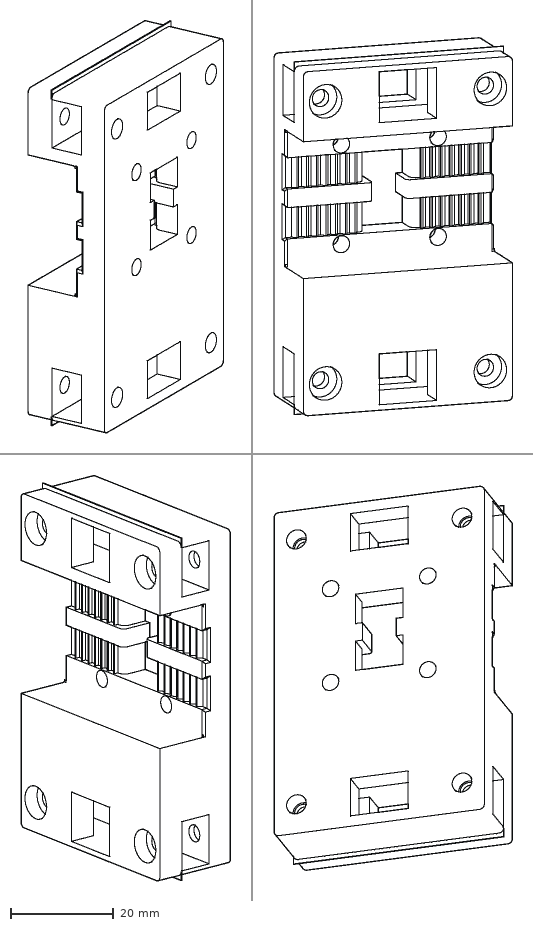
import cadquery as cq
DEPTH = 17.7
WIDTH = 43.2
FIN_HEIGHT = 70.6
FIN_OVERHANG = 0.85
FIN_THICKNESS = 0.24
HEIGHT = FIN_HEIGHT - 2 * FIN_OVERHANG
EDGE_RADIUS = 1.0
FRONT_X = -DEPTH / 2
BACK_X = DEPTH / 2

STATION_Z = 28.25
FRONT_WALL = 5.6
CHANNEL_DEPTH = 6.8
CHANNEL_HEIGHT = 10.2
WINDOW_WIDTH = 11.85
BACK_WINDOW_HEIGHT = 8.0
CHANNEL_X = FRONT_X + FRONT_WALL
CHANNEL_BACK_X = CHANNEL_X + CHANNEL_DEPTH

SCREW_Y = 17.0
SCREW_DIAMETER = 3.4
HEAD_DIAMETER = 6.7
HEAD_DEPTH = 3.05
INSERT_DIAMETER = 4.0
INSERT_SEAT = 1.3

CLAMP_Z = 6.8
NOTCH_HEIGHT = 27.4
NOTCH_DEPTH = 10.95
NOTCH_FILLET = 0.5
END_CHAMFER = 0.5
FLOOR_X = FRONT_X + NOTCH_DEPTH
CLAMP_HOLE_PITCH = 20.0

RIB_HEIGHT = 3.75
TRACKS_HEIGHT = 16.25
TRACK_HEIGHT = (TRACKS_HEIGHT - RIB_HEIGHT) / 2
TRACK_OFFSET = (RIB_HEIGHT + TRACK_HEIGHT) / 2
TOOTH_COUNT = 7
TOOTH_ROW = 12.0
TOOTH_PITCH = TOOTH_ROW / (TOOTH_COUNT - 1)
TOOTH_HEIGHT = 0.8
TOOTH_FLANK = 0.85
TOOTH_TIP = 0.35
TIP_RECESS = 0.5
FIRST_TOOTH_Y = 19.85
TIP_X = FLOOR_X + TIP_RECESS
VALLEY_X = TIP_X + TOOTH_HEIGHT

RIB_END_Y = 3.45
RIB_END_RADIUS = 1.0
TRACK_END_Y = 4.9
TRACK_END_RADIUS = 1.5


def box(x_start, x_end, width, height, z):
    """Box centred on Y = 0 between two X positions, centred at height z."""
    return cq.Workplane("XY").box(x_end - x_start, width, height).translate(((x_start + x_end) / 2, 0, z))


def drill(x_start, x_end, diameter, points):
    """Cylinders along +X at the given (y, z) points."""
    return (
        cq.Workplane("YZ", origin=(x_start, 0, 0))
        .pushPoints(points)
        .circle(diameter / 2)
        .extrude(x_end - x_start)
    )


def station_cut(z):
    """Cross channel with its front and back windows."""
    channel = box(CHANNEL_X, CHANNEL_BACK_X, WIDTH, CHANNEL_HEIGHT, z)
    front_window = box(FRONT_X, CHANNEL_BACK_X, WINDOW_WIDTH, CHANNEL_HEIGHT, z)
    back_window = box(CHANNEL_X, BACK_X, WINDOW_WIDTH, BACK_WINDOW_HEIGHT, z)
    return channel.union(front_window).union(back_window)


def track_cut(z):
    """Space in front of a toothed belt track on the +Y side, out to the middle of the opening."""
    profile = cq.Workplane("XY", origin=(0, 0, z - TRACK_HEIGHT / 2))
    profile = profile.moveTo(FLOOR_X, WIDTH / 2).lineTo(VALLEY_X, WIDTH / 2)
    for tooth in range(TOOTH_COUNT):
        start_y = FIRST_TOOTH_Y - tooth * TOOTH_PITCH
        tip_y = start_y - TOOTH_FLANK
        profile = profile.lineTo(VALLEY_X, start_y).lineTo(TIP_X, tip_y)
        profile = profile.lineTo(TIP_X, tip_y - TOOTH_TIP).lineTo(VALLEY_X, tip_y - TOOTH_TIP)
    profile = profile.lineTo(VALLEY_X, TRACK_END_Y + TRACK_END_RADIUS)
    profile = profile.radiusArc((VALLEY_X + TRACK_END_RADIUS, TRACK_END_Y), -TRACK_END_RADIUS)
    profile = profile.lineTo(BACK_X, TRACK_END_Y).lineTo(BACK_X, 0).lineTo(FLOOR_X, 0).close()
    return profile.extrude(TRACK_HEIGHT)


def track_mouth_cut(z):
    """45 degree flare where a belt track runs out through the +Y side."""
    bottom_x = VALLEY_X + END_CHAMFER
    mouth_depth = bottom_x - FRONT_X
    mouth_height = TRACK_HEIGHT + 2 * END_CHAMFER
    return (
        cq.Workplane("XZ", origin=(bottom_x - mouth_depth / 2, WIDTH / 2, z))
        .rect(mouth_depth, mouth_height)
        .extrude(END_CHAMFER, taper=45)
    )


def rib_cut():
    """Rounded end of the rib on the +Y side and the opening beyond it."""
    return (
        cq.Workplane("XY", origin=(0, 0, CLAMP_Z - RIB_HEIGHT / 2))
        .moveTo(FLOOR_X, 0)
        .lineTo(FLOOR_X, RIB_END_Y + RIB_END_RADIUS)
        .radiusArc((FLOOR_X + RIB_END_RADIUS, RIB_END_Y), -RIB_END_RADIUS)
        .lineTo(BACK_X, RIB_END_Y)
        .lineTo(BACK_X, 0)
        .close()
        .extrude(RIB_HEIGHT)
    )


def end_chamfer_cut():
    """Bevel where the notch floor meets the +Y side."""
    return (
        cq.Workplane("XY", origin=(0, 0, CLAMP_Z - NOTCH_HEIGHT / 2))
        .moveTo(FLOOR_X, WIDTH / 2 - END_CHAMFER)
        .lineTo(FLOOR_X + END_CHAMFER, WIDTH / 2)
        .lineTo(FLOOR_X, WIDTH / 2)
        .close()
        .extrude(NOTCH_HEIGHT)
    )


body = box(FRONT_X, BACK_X, WIDTH, HEIGHT, 0).edges("|X").fillet(EDGE_RADIUS)
fin = box(CHANNEL_X - FIN_THICKNESS, CHANNEL_X, WIDTH, FIN_HEIGHT, 0)
body = body.union(fin)

for station_z in (-STATION_Z, STATION_Z):
    body = body.cut(station_cut(station_z))
screw_points = [(y, z) for y in (-SCREW_Y, SCREW_Y) for z in (-STATION_Z, STATION_Z)]
body = body.cut(drill(FRONT_X, BACK_X, SCREW_DIAMETER, screw_points))
body = body.cut(drill(FRONT_X, FRONT_X + HEAD_DEPTH, HEAD_DIAMETER, screw_points))
body = body.cut(drill(CHANNEL_BACK_X + INSERT_SEAT, BACK_X, INSERT_DIAMETER, screw_points))

notch = box(FRONT_X, FLOOR_X, WIDTH, NOTCH_HEIGHT, CLAMP_Z)
notch = notch.edges(">X and |Y").fillet(NOTCH_FILLET)
body = body.cut(notch)

side_cuts = [rib_cut(), end_chamfer_cut()]
for track_z in (CLAMP_Z - TRACK_OFFSET, CLAMP_Z + TRACK_OFFSET):
    side_cuts += [track_cut(track_z), track_mouth_cut(track_z)]
for side_cut in side_cuts:
    body = body.cut(side_cut).cut(side_cut.mirror("XZ"))

half_pitch = CLAMP_HOLE_PITCH / 2
clamp_points = [(y, CLAMP_Z + dz) for y in (-half_pitch, half_pitch) for dz in (-half_pitch, half_pitch)]
body = body.cut(drill(FLOOR_X, BACK_X, SCREW_DIAMETER, clamp_points))

result = body